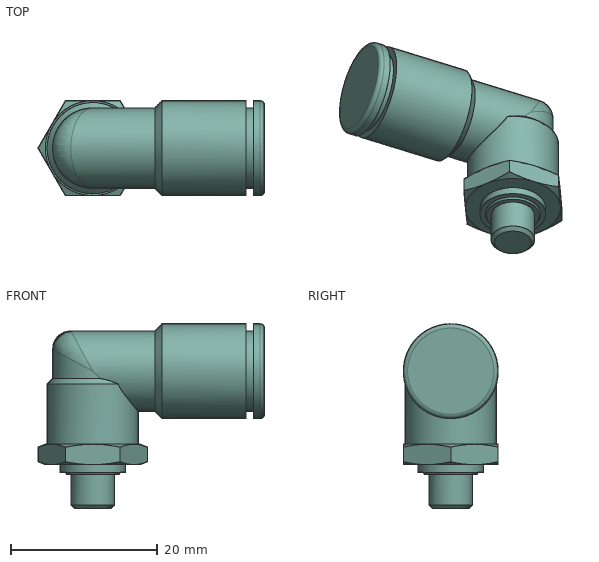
import cadquery as cq


elbow_diameter = 11.0
elbow_radius = elbow_diameter / 2
corner_fillet = 2.48

socket_diameter = 13.0
socket_start = 8.5
socket_chamfer = (socket_diameter - elbow_diameter) / 2
socket_end = 21.0
groove_width = 1.0
ring_start = socket_end + groove_width
arm_end = 23.5
ring_fillet = 0.6

body_diameter = 12.5
body_chamfer = (body_diameter - elbow_diameter) / 2
body_top = -1.0

overall_height = 25.3
stem_bottom = socket_diameter / 2 - overall_height
hex_width = socket_diameter
hex_corner_diameter = 2 * hex_width / 3 ** 0.5
hex_height = 2.8
hex_chamfer_height = 0.4
hex_base_height = 6.02
hex_bottom = stem_bottom + hex_base_height
hex_top = hex_bottom + hex_height
collar_diameter = 9.0
collar_height = 1.05
collar_bottom = hex_bottom - collar_height
lip_top_diameter = 7.57
lip_bottom_diameter = 7.2
lip_height = 0.28
thread_diameter = 6.0
thread_tip_diameter = 5.0
thread_chamfer = (thread_diameter - thread_tip_diameter) / 2


def stem_cylinder(diameter, bottom, top):
    return cq.Workplane("XY").workplane(offset=bottom).circle(diameter / 2).extrude(top - bottom)


def arm_cylinder(diameter, start, end):
    return cq.Workplane("YZ").workplane(offset=start).circle(diameter / 2).extrude(end - start)


def elbow():
    """Two crossing cylinders mitred at the outer corner, with the mitre edge rounded."""
    corner = (
        stem_cylinder(elbow_diameter, 0, elbow_radius)
        .intersect(arm_cylinder(elbow_diameter, -elbow_radius, 0))
        .edges(cq.selectors.NearestToPointSelector((-elbow_radius, 0, elbow_radius)))
        .fillet(corner_fillet)
    )
    stem_side = stem_cylinder(elbow_diameter, body_top, 0)
    arm_side = arm_cylinder(elbow_diameter, 0, socket_start)
    return corner.union(stem_side).union(arm_side)


def socket():
    """Sleeve with a tapered shoulder, then a groove and a rounded release ring."""
    sleeve = arm_cylinder(socket_diameter, socket_start, socket_end).faces("<X").chamfer(socket_chamfer)
    groove = arm_cylinder(elbow_diameter, socket_end, ring_start)
    ring = arm_cylinder(socket_diameter, ring_start, arm_end).faces(">X").edges().fillet(ring_fillet)
    return sleeve.union(groove).union(ring)


def swivel_body():
    return stem_cylinder(body_diameter, hex_top, body_top).faces(">Z").chamfer(body_chamfer)


def hexagon():
    """Hexagon with corners on the X axis, its corners cut by a cone at both ends."""
    prism = cq.Workplane("XY").workplane(offset=hex_bottom).polygon(6, hex_corner_diameter).extrude(hex_height)
    corner_radius = hex_corner_diameter / 2
    flat_radius = hex_width / 2
    envelope = (
        cq.Workplane("XZ")
        .moveTo(0, hex_bottom)
        .lineTo(flat_radius, hex_bottom)
        .lineTo(corner_radius, hex_bottom + hex_chamfer_height)
        .lineTo(corner_radius, hex_top - hex_chamfer_height)
        .lineTo(flat_radius, hex_top)
        .lineTo(0, hex_top)
        .close()
        .revolve(360, (0, 0, 0), (0, 1, 0))
    )
    return prism.intersect(envelope)


def threaded_end():
    """Collar with a tapered lip below it, and the plain shank with a chamfered tip."""
    return (
        cq.Workplane("XZ")
        .moveTo(0, hex_bottom)
        .lineTo(collar_diameter / 2, hex_bottom)
        .lineTo(collar_diameter / 2, collar_bottom)
        .lineTo(lip_top_diameter / 2, collar_bottom)
        .lineTo(lip_bottom_diameter / 2, collar_bottom - lip_height)
        .lineTo(thread_diameter / 2, collar_bottom - lip_height)
        .lineTo(thread_diameter / 2, stem_bottom + thread_chamfer)
        .lineTo(thread_tip_diameter / 2, stem_bottom)
        .lineTo(0, stem_bottom)
        .close()
        .revolve(360, (0, 0, 0), (0, 1, 0))
    )


result = elbow().union(socket()).union(swivel_body()).union(hexagon()).union(threaded_end())